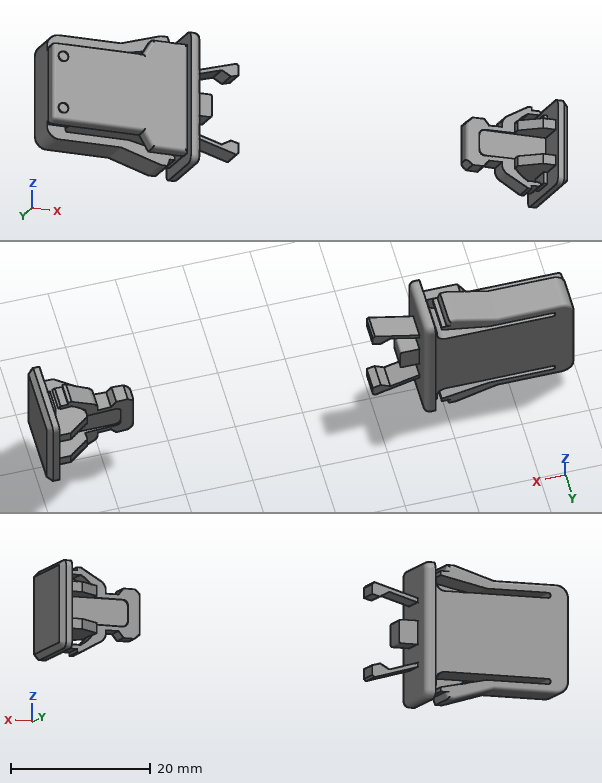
import cadquery as cq


FLANGE_X = 20.85
FLANGE_THICKNESS = 1.6
FLANGE_END_X = FLANGE_X + FLANGE_THICKNESS
FLANGE_HEIGHT = 20.0
FLANGE_WIDTH = 9.8
FLANGE_CENTRE_Y = 0.15
FLANGE_CORNER = 1.1
FLANGE_ROUND = 0.9

BACK_Y = 4.0
ARM_FRONT_Y = -1.25
SPLIT_Y = -1.7
COVER_FRONT_Y = -3.6
EDGE_ROUND = 0.5

CORE_HALF = 5.9
NECK_START_X = 19.05
NECK_STEP = 1.3
NECK_HALF = 8.2
NECK_ROUND = FLANGE_X - NECK_START_X - NECK_STEP

ARM_HALF = 7.95
ARM_CORNER = 1.9
ARM_BEND_X = 11.4
ARM_CREST_X = 17.55
ARM_CREST_END_X = 18.6
ARM_TIP_X = 19.0
ARM_TIP_HALF = 9.8
LEDGE_X = 19.7
LEDGE_HALF = 8.8
LEDGE_THICKNESS = 0.6
GAP_START_X = 2.8
GAP_HEIGHT = 0.8
GAP_BEND_X = 12.7

COVER_WIDE_HALF = 8.3
COVER_RAMP_START_X = 14.0
COVER_RAMP_END_X = 15.4
DIMPLE_X = 1.65
DIMPLE_Z = 3.9
DIMPLE_DIAMETER = 1.5
DIMPLE_DEPTH = 0.15

SLIDER_WIDTH = 3.55
YOKE_START_X = 16.9
YOKE_HALF = 5.1
PLUNGER_END_X = 25.3
PLUNGER_HALF = 1.7
PLUNGER_CORNER = 0.3
JAW_SLOPE = 0.29
JAW_ROOT_HALF = 4.4
JAW_THICKNESS = 0.6
JAW_BARB_START_X = 26.75
JAW_BARB_X = 28.2
JAW_BARB_HALF = 4.9
JAW_END_X = 29.35
JAW_MOUTH_HALF = 5.2
JAW_TIP_CHAMFER = 0.3

STRIKER_END_X = 78.7
PLATE_THICKNESS = 1.7
PLATE_X = STRIKER_END_X - PLATE_THICKNESS
PLATE_HEIGHT = 12.9
PLATE_WIDTH = 12.0
PLATE_CORNER = 0.95
PLATE_BEVEL = 0.8

STEM_X = 64.7
STEM_START_HALF_WIDTH = 1.25
STEM_END_HALF_WIDTH = 1.7
HEAD_HALF = 3.6
HEAD_NOSE_HALF = 2.8
HEAD_NOSE_LENGTH = 0.95
HEAD_NOSE_ROUND = 0.55
HEAD_END_X = 67.4
NECK_X = 68.15
STEM_NECK_HALF = 2.7
RECESS_X = 66.65
RECESS_HALF = 2.0
RECESS_CORNER = 0.9
WEB_HALF_WIDTH = 1.1

HOOK_X = 70.1
HOOK_SHOULDER_HALF = 3.4
HOOK_BACK_X = 71.15
HOOK_BACK_HALF = 4.6
HOOK_BACK_RADIUS = 1.7
HOOK_CREST_X = 74.05
HOOK_ROOT_X = 72.2
HOOK_INNER_RADIUS = 5.5
HOOK_TIP_X = 74.6
HOOK_TIP_HALF = 6.2
HOOK_LEDGE_X = 75.7
HOOK_LEDGE_END_X = 76.1
HOOK_LEDGE_END_HALF = 5.4
HOOK_LEDGE_HALF = 5.75
HOOK_INNER_HALF = 5.1

FIN_X = 72.0
FIN_SHOULDER_X = 75.1
FIN_NOSE_HALF_WIDTH = 2.75
FIN_HALF_WIDTH = 5.0
FIN_TOP = 3.5
PAD_X = 76.4
PAD_TOP = 5.2


def extrude_along_y(outline, y_from, y_to):
    """Extrude a closed XZ outline so that it fills y_from to y_to."""
    return outline.extrude(y_from - y_to).translate((0, y_from, 0))


def with_mirror_image(solid):
    """Add the copy of a solid on the other side of Z = 0."""
    return solid.union(solid.mirror("XY"))


def box_between(x_range, y_range, z_range):
    """Box that fills the given ranges."""
    sizes = [end - start for start, end in (x_range, y_range, z_range)]
    corner = (x_range[0], y_range[0], z_range[0])
    return cq.Workplane("XY").box(*sizes, centered=False).translate(corner)


def make_jaw():
    """Upper jaw: a sloping finger from the yoke to a barbed tip."""
    def inner_half(x):
        return JAW_ROOT_HALF + JAW_SLOPE * (x - FLANGE_END_X)

    def outer_half(x):
        return inner_half(x) + JAW_THICKNESS

    tip_x = JAW_END_X - JAW_TIP_CHAMFER
    outline = (
        cq.Workplane("XZ")
        .moveTo(YOKE_START_X, inner_half(YOKE_START_X))
        .lineTo(JAW_BARB_START_X, inner_half(JAW_BARB_START_X))
        .lineTo(JAW_BARB_X, JAW_BARB_HALF)
        .lineTo(JAW_END_X, JAW_MOUTH_HALF)
        .lineTo(JAW_END_X, outer_half(tip_x) - JAW_TIP_CHAMFER)
        .lineTo(tip_x, outer_half(tip_x))
        .lineTo(YOKE_START_X, outer_half(YOKE_START_X))
        .close()
    )
    return extrude_along_y(outline, SPLIT_Y, SPLIT_Y + SLIDER_WIDTH)


def make_slider():
    """Yoke inside the housing that carries the plunger and the two jaws."""
    width_range = (SPLIT_Y, SPLIT_Y + SLIDER_WIDTH)
    yoke = box_between((YOKE_START_X, FLANGE_X), width_range, (-YOKE_HALF, YOKE_HALF))
    plunger = box_between((YOKE_START_X, PLUNGER_END_X), width_range, (-PLUNGER_HALF, PLUNGER_HALF))
    plunger = plunger.edges("|Y and >X").fillet(PLUNGER_CORNER)
    return yoke.union(plunger).union(with_mirror_image(make_jaw()))


def make_flange():
    """Rounded rectangular flange with a rounded front rim."""
    flange = cq.Workplane("YZ").rect(FLANGE_WIDTH, FLANGE_HEIGHT).extrude(FLANGE_THICKNESS)
    flange = flange.edges("|X").fillet(FLANGE_CORNER).faces(">X").edges().fillet(FLANGE_ROUND)
    return flange.translate((FLANGE_X, FLANGE_CENTRE_Y, 0))


def make_core():
    """Block between the spring arms, flaring out in an S-shaped neck at the flange.

    Its rear end is left open for the bridge that joins the arms.
    """
    outline = (
        cq.Workplane("XZ")
        .moveTo(0, 0)
        .lineTo(0, CORE_HALF)
        .lineTo(NECK_START_X, CORE_HALF)
        .radiusArc((NECK_START_X + NECK_STEP, CORE_HALF + NECK_STEP), -NECK_STEP)
        .lineTo(NECK_START_X + NECK_STEP, NECK_HALF - NECK_ROUND)
        .radiusArc((FLANGE_X, NECK_HALF), NECK_ROUND)
        .lineTo(FLANGE_X, 0)
        .close()
    )
    core = with_mirror_image(extrude_along_y(outline, SPLIT_Y, BACK_Y))
    core = core.edges("|Y and <X").fillet(EDGE_ROUND)
    rear_bridge = box_between((0, GAP_START_X), (ARM_FRONT_Y, BACK_Y), (-CORE_HALF, CORE_HALF))
    return core.cut(rear_bridge)


def make_arm_gap():
    """Gap between the upper spring arm and the core, round at its closed end."""
    gap_radius = GAP_HEIGHT / 2
    outline = (
        cq.Workplane("XZ")
        .moveTo(GAP_START_X + gap_radius, CORE_HALF)
        .threePointArc(
            (GAP_START_X, CORE_HALF + gap_radius),
            (GAP_START_X + gap_radius, CORE_HALF + GAP_HEIGHT),
        )
        .lineTo(GAP_BEND_X, CORE_HALF + GAP_HEIGHT)
        .lineTo(LEDGE_X, LEDGE_HALF - LEDGE_THICKNESS)
        .lineTo(LEDGE_X, CORE_HALF)
        .close()
    )
    return extrude_along_y(outline, ARM_FRONT_Y, BACK_Y)


def make_arms():
    """Two spring arms joined at the rear, with snap ledges at their tips."""
    outline = (
        cq.Workplane("XZ")
        .moveTo(0, 0)
        .lineTo(0, ARM_HALF - ARM_CORNER)
        .radiusArc((ARM_CORNER, ARM_HALF), ARM_CORNER)
        .lineTo(ARM_BEND_X, ARM_HALF)
        .lineTo(ARM_CREST_X, ARM_TIP_HALF)
        .lineTo(ARM_CREST_END_X, ARM_TIP_HALF)
        .lineTo(ARM_TIP_X, LEDGE_HALF)
        .lineTo(ARM_TIP_X, 0)
        .close()
    )
    arms = with_mirror_image(extrude_along_y(outline, ARM_FRONT_Y, BACK_Y))
    arms = arms.faces(">Y").edges().fillet(EDGE_ROUND)
    ledges = box_between((ARM_CREST_X, LEDGE_X), (ARM_FRONT_Y, BACK_Y), (CORE_HALF, LEDGE_HALF))
    return arms.union(with_mirror_image(ledges)).cut(with_mirror_image(make_arm_gap()))


def make_housing(slider):
    """Core, spring arms and flange, with a pocket that fits the slider."""
    return make_core().union(make_arms()).union(make_flange()).cut(slider)


def make_cover():
    """Plate that closes the housing, wider near the flange and rounded at its front edges."""
    outline = (
        cq.Workplane("XZ")
        .moveTo(0, 0)
        .lineTo(0, CORE_HALF)
        .lineTo(COVER_RAMP_START_X, CORE_HALF)
        .lineTo(COVER_RAMP_END_X, COVER_WIDE_HALF)
        .lineTo(FLANGE_X, COVER_WIDE_HALF)
        .lineTo(FLANGE_X, 0)
        .close()
    )
    cover = with_mirror_image(extrude_along_y(outline, COVER_FRONT_Y, SPLIT_Y))
    cover = cover.edges("|Y and <X").fillet(EDGE_ROUND)
    cover = cover.faces("<Y").edges().fillet(EDGE_ROUND)
    dimples = (
        cq.Workplane("XZ")
        .pushPoints([(DIMPLE_X, DIMPLE_Z), (DIMPLE_X, -DIMPLE_Z)])
        .circle(DIMPLE_DIAMETER / 2)
    )
    return cover.cut(extrude_along_y(dimples, COVER_FRONT_Y, COVER_FRONT_Y + DIMPLE_DEPTH))


def make_plate():
    """Rounded rectangular plate with a bevelled outer rim."""
    plate = cq.Workplane("YZ").rect(PLATE_WIDTH, PLATE_HEIGHT).extrude(PLATE_THICKNESS)
    plate = plate.edges("|X").fillet(PLATE_CORNER).faces(">X").edges().chamfer(PLATE_BEVEL)
    return plate.translate((PLATE_X, 0, 0))


def make_stem_outline():
    """Upper half of the stem: gripped head, neck and curved snap hook."""
    return (
        cq.Workplane("XZ")
        .moveTo(STEM_X, 0)
        .lineTo(STEM_X, HEAD_NOSE_HALF)
        .lineTo(STEM_X + HEAD_NOSE_LENGTH, HEAD_HALF)
        .lineTo(HEAD_END_X, HEAD_HALF)
        .lineTo(NECK_X, STEM_NECK_HALF)
        .lineTo(HOOK_X, STEM_NECK_HALF)
        .lineTo(HOOK_X, HOOK_SHOULDER_HALF)
        .radiusArc((HOOK_BACK_X, HOOK_BACK_HALF), HOOK_BACK_RADIUS)
        .lineTo(HOOK_CREST_X, HOOK_TIP_HALF)
        .lineTo(HOOK_TIP_X, HOOK_TIP_HALF)
        .lineTo(HOOK_TIP_X, HOOK_LEDGE_HALF)
        .lineTo(HOOK_LEDGE_X, HOOK_LEDGE_HALF)
        .lineTo(HOOK_LEDGE_END_X, HOOK_LEDGE_END_HALF)
        .lineTo(HOOK_LEDGE_X, HOOK_INNER_HALF)
        .lineTo(HOOK_CREST_X, HOOK_INNER_HALF)
        .radiusArc((HOOK_ROOT_X, FIN_TOP), -HOOK_INNER_RADIUS)
        .lineTo(PLATE_X, FIN_TOP)
        .lineTo(PLATE_X, 0)
        .close()
    )


def make_stem():
    """Stem that widens towards the plate, with rounded upright edges at its nose."""
    upper_half = extrude_along_y(make_stem_outline(), -STEM_END_HALF_WIDTH, STEM_END_HALF_WIDTH)
    prism = with_mirror_image(upper_half)
    taper = (
        cq.Workplane("XY")
        .moveTo(STEM_X, -STEM_START_HALF_WIDTH)
        .lineTo(PLATE_X, -STEM_END_HALF_WIDTH)
        .lineTo(PLATE_X, STEM_END_HALF_WIDTH)
        .lineTo(STEM_X, STEM_START_HALF_WIDTH)
        .close()
        .extrude(HOOK_TIP_HALF, both=True)
    )
    taper = taper.edges("|Z and <X").fillet(HEAD_NOSE_ROUND)
    return prism.intersect(taper)


def make_recess():
    """Pair of flat-floored recesses that leave a web in the middle of the stem."""
    recess = box_between((RECESS_X, PLATE_X), (WEB_HALF_WIDTH, FIN_HALF_WIDTH), (-RECESS_HALF, RECESS_HALF))
    recess = recess.edges("|Y and <X").fillet(RECESS_CORNER)
    return recess.union(recess.mirror("XZ"))


def make_fin():
    """Upper guide fin, tapering away from the plate."""
    return (
        cq.Workplane("XY")
        .workplane(offset=RECESS_HALF)
        .moveTo(FIN_X, -FIN_NOSE_HALF_WIDTH)
        .lineTo(FIN_SHOULDER_X, -FIN_HALF_WIDTH)
        .lineTo(PLATE_X, -FIN_HALF_WIDTH)
        .lineTo(PLATE_X, FIN_HALF_WIDTH)
        .lineTo(FIN_SHOULDER_X, FIN_HALF_WIDTH)
        .lineTo(FIN_X, FIN_NOSE_HALF_WIDTH)
        .close()
        .extrude(FIN_TOP - RECESS_HALF)
    )


def make_pad():
    """Upper stop pad on the plate, behind the hook."""
    width_range = (-STEM_END_HALF_WIDTH, STEM_END_HALF_WIDTH)
    return box_between((PAD_X, PLATE_X), width_range, (FIN_TOP, PAD_TOP))


def make_striker():
    """Plate with its stem, hooks, fins and stop pads."""
    stem = make_stem().cut(make_recess())
    fins = with_mirror_image(make_fin())
    pads = with_mirror_image(make_pad())
    return make_plate().union(stem).union(fins).union(pads)


slider = make_slider()
housing = make_housing(slider)
cover = make_cover()
striker = make_striker()

bodies = [housing, cover, slider, striker]
result = cq.Compound.makeCompound([body.solids().val() for body in bodies])